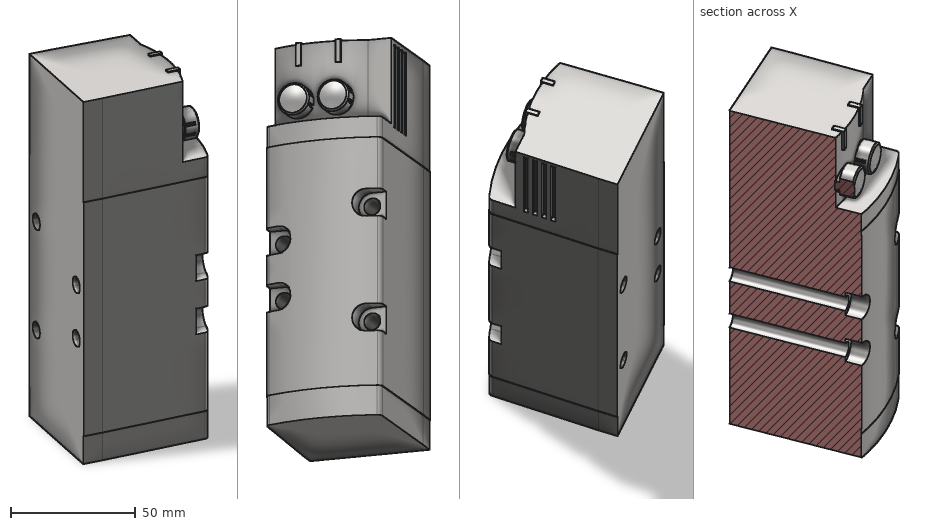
import cadquery as cq
import math

HOUSING_HEIGHT = 160.7
BASE_WIDTH = 51.6
HOUSING_DEPTH = 60.0
STRAIGHT_DEPTH = 8.4
CROWN_WIDTH = 49.5
CROWN_EDGE_DEPTH = 56.1
CROWN_CORNER_RADIUS = 2.3

LOWER_COVER_TOP = 12.4
UPPER_COVER_BOTTOM = 116.2
COVER_INSET = 0.24

PANEL_BOTTOM = 125.0
PANEL_EDGE_DEPTH = 44.5
PANEL_PEAK_DEPTH = 48.0
PANEL_BULGE_HALF_WIDTH = 20.0
PANEL_CENTER_X = 5.2

CONNECTOR_PITCH = 17.0
CONNECTOR_XS = [PANEL_CENTER_X - CONNECTOR_PITCH / 2, PANEL_CENTER_X + CONNECTOR_PITCH / 2]
CONNECTOR_Z = 136.2
NECK_DIAMETER = 11.5
NECK_BOTTOM_DEPTH = 46.0
HEAD_DIAMETER = 13.4
HEAD_BOTTOM_DEPTH = PANEL_PEAK_DEPTH
HEAD_RIM_DEPTH = 53.8
DOME_DIAMETER = 11.8
DOME_BASE_DEPTH = 54.5
DOME_PEAK_DEPTH = 55.5
GRIP_SLOT_WIDTH = 1.1
GRIP_SLOT_CUT = 0.8
GRIP_SLOT_END_DEPTH = 52.5
GRIP_SLOT_OFFSET = 2.3

TAB_WIDTH = 2.1
TAB_RISE = 0.5
TAB_BACK_DEPTH = 42.9
TAB_FRONT_DEPTH = 48.2
TAB_BOTTOM = 151.7

HOLE_DIAMETER = 7.0
HOLE_X = 18.9
LEFT_HOLE_ZS = [41.0, 89.0]
RIGHT_HOLE_ZS = [53.0, 76.7]
RECESS_DIAMETER = 11.5
RECESS_FLOOR_DEPTH = 50.6

GROOVE_COUNT = 4
GROOVE_WIDTH = 2.0
GROOVE_SPAN = 12.0
FIRST_GROOVE_DEPTH = 28.0
GROOVE_BOTTOM = 124.3
GROOVE_TOP = 158.8
GROOVE_CUT = 2.0


def box(x_min, x_max, y_min, y_max, z_min, z_max):
    """A block between the given limits."""
    corner = cq.Vector(x_min, y_min, z_min)
    return cq.Workplane(cq.Solid.makeBox(x_max - x_min, y_max - y_min, z_max - z_min, corner))


def cylinder(diameter, x, z, y_min, y_max):
    """A round bar parallel to Y."""
    start = cq.Vector(x, y_min, z)
    return cq.Workplane(cq.Solid.makeCylinder(diameter / 2, y_max - y_min, start, cq.Vector(0, 1, 0)))


def housing_section(z_min, z_max, inset):
    """A length of the housing: straight base, drafted sides and a crowned top."""
    base_x = BASE_WIDTH / 2 - inset
    crown_x = CROWN_WIDTH / 2 - inset
    section = (
        cq.Workplane("XY", origin=(0, 0, z_min))
        .moveTo(-base_x, 0)
        .lineTo(base_x, 0)
        .lineTo(base_x, STRAIGHT_DEPTH)
        .lineTo(crown_x, CROWN_EDGE_DEPTH)
        .threePointArc((0, HOUSING_DEPTH), (-crown_x, CROWN_EDGE_DEPTH))
        .lineTo(-base_x, STRAIGHT_DEPTH)
        .close()
        .extrude(z_max - z_min)
    )
    return section.edges("|Z").edges(">Y").fillet(CROWN_CORNER_RADIUS)


def panel_cutter():
    """The space in front of the connector panel, ending on its bulged face."""
    left_x = PANEL_CENTER_X - PANEL_BULGE_HALF_WIDTH
    right_x = PANEL_CENTER_X + PANEL_BULGE_HALF_WIDTH
    return (
        cq.Workplane("XY", origin=(0, 0, PANEL_BOTTOM))
        .moveTo(-BASE_WIDTH, PANEL_EDGE_DEPTH)
        .lineTo(left_x, PANEL_EDGE_DEPTH)
        .threePointArc((PANEL_CENTER_X, PANEL_PEAK_DEPTH), (right_x, PANEL_EDGE_DEPTH))
        .lineTo(BASE_WIDTH, PANEL_EDGE_DEPTH)
        .lineTo(BASE_WIDTH, HOUSING_DEPTH)
        .lineTo(-BASE_WIDTH, HOUSING_DEPTH)
        .close()
        .extrude(HOUSING_HEIGHT - PANEL_BOTTOM)
    )


def key_tab(x):
    """A small hook over the top edge of the panel, above a connector."""
    return box(
        x - TAB_WIDTH / 2, x + TAB_WIDTH / 2,
        TAB_BACK_DEPTH, TAB_FRONT_DEPTH,
        TAB_BOTTOM, HOUSING_HEIGHT + TAB_RISE,
    )


def mounting_hole(side, z):
    """A through hole with a round ended screw recess, open to the side wall (side is -1 or 1)."""
    x = side * HOLE_X
    wall_x = side * BASE_WIDTH / 2
    radius = RECESS_DIAMETER / 2
    hole = cylinder(HOLE_DIAMETER, x, z, 0, HOUSING_DEPTH)
    recess = cylinder(RECESS_DIAMETER, x, z, RECESS_FLOOR_DEPTH, HOUSING_DEPTH)
    opening = box(
        min(x, wall_x), max(x, wall_x), RECESS_FLOOR_DEPTH, HOUSING_DEPTH, z - radius, z + radius
    )
    return hole.union(recess).union(opening)


def cover_half_width(y):
    """Half width of the covers between their drafted sides at depth y."""
    draft = (BASE_WIDTH - CROWN_WIDTH) / 2 / (CROWN_EDGE_DEPTH - STRAIGHT_DEPTH)
    return BASE_WIDTH / 2 - COVER_INSET - draft * (y - STRAIGHT_DEPTH)


def grip_groove(index):
    """One upright groove in the -X side."""
    y = FIRST_GROOVE_DEPTH + index * GROOVE_SPAN / (GROOVE_COUNT - 1)
    return box(
        -BASE_WIDTH / 2, GROOVE_CUT - cover_half_width(y),
        y - GROOVE_WIDTH / 2, y + GROOVE_WIDTH / 2,
        GROOVE_BOTTOM, GROOVE_TOP,
    )


def make_housing():
    housing = housing_section(LOWER_COVER_TOP, UPPER_COVER_BOTTOM, 0)
    housing = housing.union(housing_section(0, LOWER_COVER_TOP, COVER_INSET))
    housing = housing.union(housing_section(UPPER_COVER_BOTTOM, HOUSING_HEIGHT, COVER_INSET))
    housing = housing.cut(panel_cutter())
    for x in CONNECTOR_XS:
        housing = housing.union(key_tab(x))
        housing = housing.cut(cylinder(NECK_DIAMETER, x, CONNECTOR_Z, NECK_BOTTOM_DEPTH, HOUSING_DEPTH))
    for z in LEFT_HOLE_ZS:
        housing = housing.cut(mounting_hole(-1, z))
    for z in RIGHT_HOLE_ZS:
        housing = housing.cut(mounting_hole(1, z))
    for index in range(GROOVE_COUNT):
        housing = housing.cut(grip_groove(index))
    return housing


def make_connector(x):
    """A round connector: neck, wider head with grip slots, and a domed end."""
    dome_rise = DOME_PEAK_DEPTH - DOME_BASE_DEPTH
    dome_sphere_radius = ((DOME_DIAMETER / 2) ** 2 + dome_rise ** 2) / (2 * dome_rise)
    dome_middle_radius = DOME_DIAMETER / 4
    dome_middle_drop = dome_sphere_radius - math.sqrt(dome_sphere_radius ** 2 - dome_middle_radius ** 2)
    dome_middle = (dome_middle_radius, DOME_PEAK_DEPTH - dome_middle_drop)
    profile = (
        cq.Workplane("XY")
        .moveTo(0, NECK_BOTTOM_DEPTH)
        .lineTo(NECK_DIAMETER / 2, NECK_BOTTOM_DEPTH)
        .lineTo(NECK_DIAMETER / 2, HEAD_BOTTOM_DEPTH)
        .lineTo(HEAD_DIAMETER / 2, HEAD_BOTTOM_DEPTH)
        .lineTo(HEAD_DIAMETER / 2, HEAD_RIM_DEPTH)
        .lineTo(DOME_DIAMETER / 2, DOME_BASE_DEPTH)
        .threePointArc(dome_middle, (0, DOME_PEAK_DEPTH))
        .close()
    )
    connector = profile.revolve(360, (0, 0, 0), (0, 1, 0)).translate((x, 0, CONNECTOR_Z))
    wall_offset = math.sqrt((HEAD_DIAMETER / 2) ** 2 - GRIP_SLOT_OFFSET ** 2)
    slot_floor = wall_offset - GRIP_SLOT_CUT
    for z_side in (-1, 1):
        z = CONNECTOR_Z + z_side * GRIP_SLOT_OFFSET
        for x_min, x_max in ((-HEAD_DIAMETER, -slot_floor), (slot_floor, HEAD_DIAMETER)):
            connector = connector.cut(box(
                x + x_min, x + x_max,
                HEAD_BOTTOM_DEPTH, GRIP_SLOT_END_DEPTH,
                z - GRIP_SLOT_WIDTH / 2, z + GRIP_SLOT_WIDTH / 2,
            ))
    return connector


housing = make_housing()
connectors = [make_connector(x) for x in CONNECTOR_XS]
result = cq.Compound.makeCompound([housing.val(), *[connector.val() for connector in connectors]])